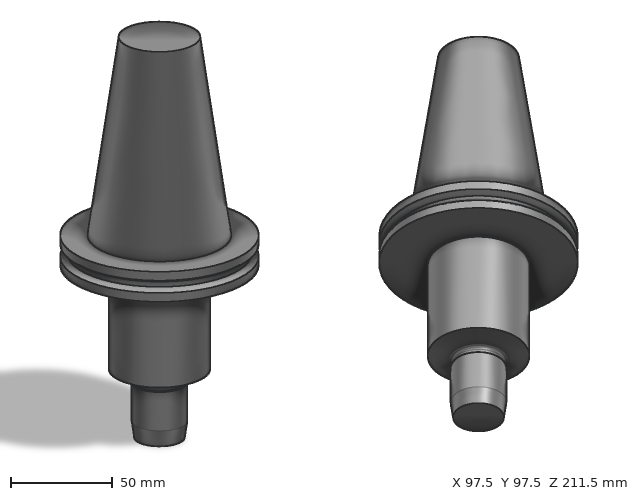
import cadquery as cq
import math

total_height = 211.5
taper_height = 104.7
flange_thickness = 15.9
flange_top = total_height - taper_height
flange_bottom = flange_top - flange_thickness
shank_bottom = 36.2
shoulder_bottom = 33.6
flare_bottom = 31.3
pilot_top = 29.2
tip_height = 8.9

flange_radius = 97.5 / 2
groove_radius = 91.0 / 2
taper_base_radius = 70.7 / 2
taper_ratio = 7 / 24
small_end_radius = taper_base_radius - taper_height * taper_ratio / 2
shank_radius = 50.0 / 2
relief_radius = 49.0 / 2
relief_height = 0.8
shoulder_radius = 14.8
neck_radius = 13.3
pilot_radius = 13.8
tip_radius = 12.5
pilot_chamfer = pilot_radius - neck_radius

groove_floor_width = 2.8
groove_side_angle = 30.0
groove_depth = flange_radius - groove_radius
groove_side_height = groove_depth * math.tan(math.radians(groove_side_angle))
groove_centre = (flange_top + flange_bottom) / 2
floor_half = groove_floor_width / 2
mouth_half = floor_half + groove_side_height

flare_width = shoulder_radius - neck_radius
flare_height = shoulder_bottom - flare_bottom
flare_arc_point = (
    shoulder_radius - flare_width * math.cos(math.pi / 4),
    flare_bottom + flare_height * math.sin(math.pi / 4),
)

half_section = (
    cq.Workplane("XZ")
    .moveTo(0, 0)
    .lineTo(tip_radius, 0)
    .lineTo(pilot_radius, tip_height)
    .lineTo(pilot_radius, pilot_top)
    .lineTo(neck_radius, pilot_top + pilot_chamfer)
    .lineTo(neck_radius, flare_bottom)
    .threePointArc(flare_arc_point, (shoulder_radius, shoulder_bottom))
    .lineTo(shank_radius, shank_bottom)
    .lineTo(shank_radius, flange_bottom - relief_height)
    .lineTo(relief_radius, flange_bottom - relief_height)
    .lineTo(relief_radius, flange_bottom)
    .lineTo(flange_radius, flange_bottom)
    .lineTo(flange_radius, groove_centre - mouth_half)
    .lineTo(groove_radius, groove_centre - floor_half)
    .lineTo(groove_radius, groove_centre + floor_half)
    .lineTo(flange_radius, groove_centre + mouth_half)
    .lineTo(flange_radius, flange_top)
    .lineTo(taper_base_radius, flange_top)
    .lineTo(small_end_radius, total_height)
    .lineTo(0, total_height)
    .close()
)
result = half_section.revolve(360, (0, 0, 0), (0, 1, 0))